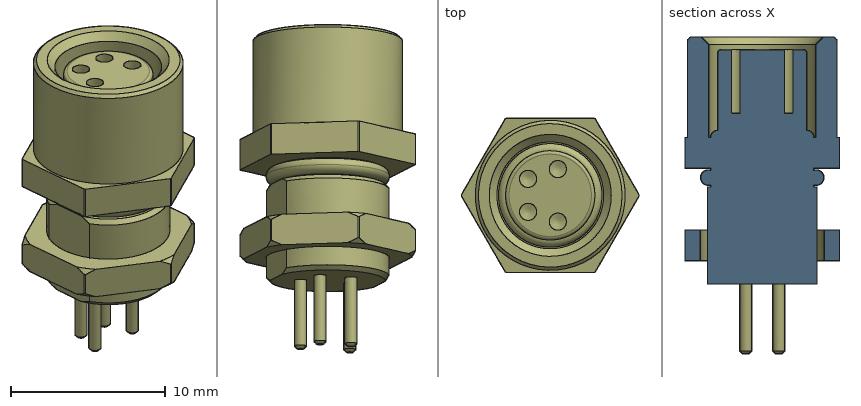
import cadquery as cq
import math

total_height = 20.5
body_bottom = 4.5
nut_bottom = 6.0
hex_height = 2.0
body_top = 10.8
flange_bottom = 12.0
flange_top = flange_bottom + hex_height
insert_top = 19.68
socket_floor = flange_top

across_flats = 10.0
across_corners = 11.5
nut_bevel = 0.3

collar_dia = 9.7
collar_chamfer = 0.2
neck_dia = 6.7
body_dia = 8.0
body_flats = 7.1
body_chamfer = 0.29

seal_outer_dia = 8.0
seal_section_dia = 1.0
seal_height = (body_top + flange_bottom) / 2

socket_dia = 6.9
mouth_chamfer = 0.5
insert_dia = 5.78
insert_rounding = 0.23
insert_foot_dia = 6.7

contact_places = [(-1.44, 1.07), (-1.44, -1.07), (0.5, 1.7), (0.5, -1.7)]
hole_dia = 1.1
hole_depth = 4.1
hole_tip_angle = 150.0
pin_dia = 0.8
pin_chamfer = 0.18


def cylinder(diameter, bottom, top):
    return cq.Workplane("XY").workplane(offset=bottom).circle(diameter / 2).extrude(top - bottom)


def ring(centre_radius, section_dia, height):
    section = cq.Workplane("XZ").center(centre_radius, height).circle(section_dia / 2)
    return section.revolve(360, (-centre_radius, 0), (-centre_radius, 1))


def hexagon(bottom):
    """Hexagonal prism with corners on the X axis, each corner trimmed to a narrow flat."""
    plane = cq.Workplane("XY").workplane(offset=bottom)
    prism = plane.polygon(6, across_flats, circumscribed=True).extrude(hex_height)
    trimmer = plane.polygon(6, across_corners, circumscribed=True).extrude(hex_height)
    return prism.rotate((0, 0, 0), (0, 0, 1), 30).intersect(trimmer)


def make_nut():
    """Hexagon with conically bevelled corners, bored to the round of the body so a gap shows at each flat."""
    cone = cylinder(across_corners, nut_bottom, nut_bottom + hex_height)
    nut = hexagon(nut_bottom).intersect(cone.faces("<Z or >Z").chamfer(nut_bevel))
    return nut.cut(cylinder(body_dia, nut_bottom, nut_bottom + hex_height))


def make_body():
    """Round body with a flat on the front and the back."""
    height = body_top - body_bottom
    rounded = cylinder(body_dia, body_bottom, body_top).faces("<Z or >Z").chamfer(body_chamfer)
    slab = cq.Workplane("XY").workplane(offset=body_bottom).rect(body_dia, body_flats).extrude(height)
    return rounded.intersect(slab)


def make_collar():
    """Collar opened by a blind socket with a chamfered mouth."""
    collar = cylinder(collar_dia, flange_bottom, total_height).faces(">Z").chamfer(collar_chamfer)
    mouth_dia = socket_dia + 2 * mouth_chamfer
    mouth = (
        cq.Workplane("XY")
        .workplane(offset=total_height - mouth_chamfer)
        .circle(socket_dia / 2)
        .workplane(offset=mouth_chamfer)
        .circle(mouth_dia / 2)
        .loft()
    )
    return collar.cut(cylinder(socket_dia, socket_floor, total_height)).cut(mouth)


def make_insert():
    """Contact carrier with a rounded top edge and a quarter-round foot on the socket floor."""
    carrier = cylinder(insert_dia, socket_floor, insert_top).faces(">Z").edges().fillet(insert_rounding)
    foot = ring(insert_dia / 2, insert_foot_dia - insert_dia, socket_floor)
    return carrier.union(foot)


def make_contact_hole(x, y):
    """Drilled hole with a conical end."""
    radius = hole_dia / 2
    tip_length = radius / math.tan(math.radians(hole_tip_angle / 2))
    profile = [
        (0, insert_top),
        (radius, insert_top),
        (radius, insert_top - hole_depth),
        (0, insert_top - hole_depth - tip_length),
    ]
    drill = cq.Workplane("XZ").polyline(profile).close().revolve(360, (0, 0), (0, 1))
    return drill.translate((x, y, 0))


def make_pin(x, y):
    pin = cylinder(pin_dia, 0, body_bottom + body_chamfer).faces("<Z").chamfer(pin_chamfer)
    return pin.translate((x, y, 0))


flange = hexagon(flange_bottom).cut(cylinder(socket_dia, socket_floor, total_height))
neck = cylinder(neck_dia, body_top, flange_bottom)
seal = ring((seal_outer_dia - seal_section_dia) / 2, seal_section_dia, seal_height)

result = make_collar().union(flange).union(neck).union(seal)
result = result.union(make_body()).union(make_nut()).union(make_insert())

for place in contact_places:
    result = result.union(make_pin(*place)).cut(make_contact_hole(*place))